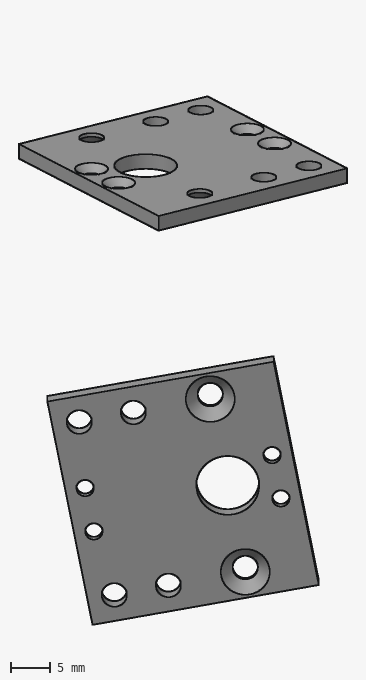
import cadquery as cq

plate_width = 31.0
plate_length = 29.3
plate_thickness = 2.0

bore_diameter = 8.0
bore_y = -5.8

side_hole_diameter = 3.2
side_hole_x = 12.0
side_hole_rows = [bore_y, 4.15, 11.15]

side_hole_land = 0.5
side_countersink_depth = plate_thickness - side_hole_land
side_countersink_radius = side_hole_diameter / 2 + side_countersink_depth

screw_hole_diameter = 2.2
countersink_diameter = 4.22
countersink_angle = 90.0
screw_x_spacing = 6.0
screw_y_spacing = 24.2

result = cq.Workplane("XY").box(
    plate_width, plate_length, plate_thickness, centered=(True, True, False)
)
top_plane = cq.Workplane("XY", origin=(0, 0, plate_thickness))


def drill(plate, points, diameter):
    """Cut plain through holes at the given points."""
    return plate.cut(top_plane.pushPoints(points).circle(diameter / 2).extrude(-plate_thickness))


result = drill(result, [(0, bore_y)], bore_diameter)

side_hole_points = [(side * side_hole_x, y) for side in (-1, 1) for y in side_hole_rows]
result = drill(result, side_hole_points, side_hole_diameter)

result = (
    result.faces(">Z")
    .workplane(origin=(0, 0, plate_thickness))
    .rarray(screw_x_spacing, screw_y_spacing, 2, 2)
    .cskHole(screw_hole_diameter, countersink_diameter, countersink_angle)
)

for side in (-1, 1):
    countersink = cq.Solid.makeCone(
        side_countersink_radius,
        side_hole_diameter / 2,
        side_countersink_depth,
        pnt=cq.Vector(side * side_hole_x, bore_y, 0),
    )
    result = result.cut(cq.Workplane(obj=countersink))